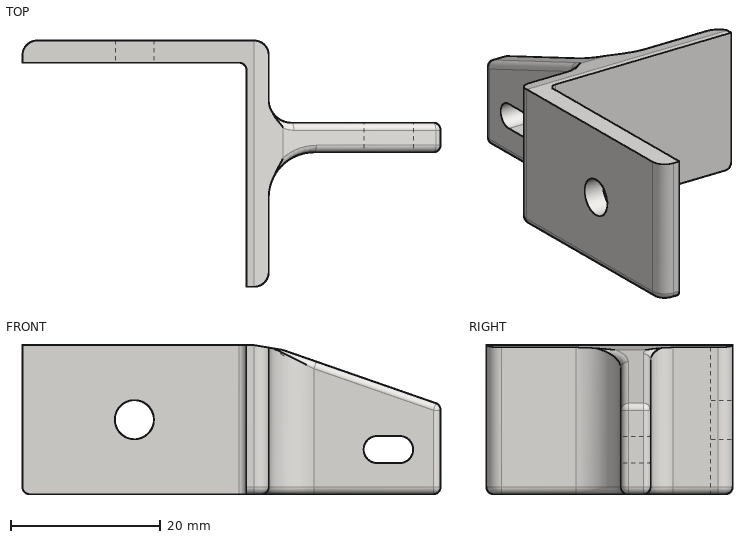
import cadquery as cq
import math

height = 20.0
plate_thickness = 3.0
wall_outer_x = 33.0
wall_inner_x = wall_outer_x - plate_thickness
wall_length = 33.0
outer_corner_radius = 2.0
inner_corner_radius = 1.0

rib_end_x = 56.0
rib_thickness = 4.0
rib_back_y = -11.0
rib_front_y = rib_back_y - rib_thickness
rib_end_height = 12.0
rib_back_root_radius = 3.0
rib_front_root_radius = 6.0

top_bevel_length = 2.0
edge_radius = 1.0
rounding_fade_offset = 0.3

hole_diameter = 5.2
hole_x = 15.0
hole_z = height / 2
slot_width = 3.6
slot_length = 6.6
slot_x = 49.0
slot_z = 6.0

slope_angle = math.atan((height - rib_end_height) / (rib_end_x - wall_outer_x))
rib_middle_y = (rib_back_y + rib_front_y) / 2
rib_middle_x = (wall_outer_x + rib_end_x) / 2
rib_middle_height = (height + rib_end_height) / 2
full_slope_height = height + wall_outer_x * math.tan(slope_angle)


def fillet_upright(body, x, y, radius):
    """Round the upright edge that passes through (x, y)."""
    edge = cq.selectors.NearestToPointSelector((x, y, height / 2))
    return body.edges("|Z").edges(edge).fillet(radius)


def fillet_near(body, points):
    """Round the edges nearest to the points, and all edges tangent to them."""
    chosen = [body.edges(cq.selectors.NearestToPointSelector(p)).val() for p in points]
    return body.newObject(chosen).fillet(edge_radius)


def side_envelope(top_points, front_y, back_y):
    """Block over the full X length whose top follows the given (x, z) points."""
    outline = [(0, 0)] + top_points + [(rib_end_x, rib_end_height), (rib_end_x, 0)]
    return cq.Workplane("XZ", origin=(0, back_y, 0)).polyline(outline).close().extrude(back_y - front_y)


def bracket_body():
    """Both plates and the rib, with the bottom outside edges rounded."""
    outline = [
        (0, 0),
        (wall_outer_x, 0),
        (wall_outer_x, rib_back_y),
        (rib_end_x, rib_back_y),
        (rib_end_x, rib_front_y),
        (wall_outer_x, rib_front_y),
        (wall_outer_x, -wall_length),
        (wall_inner_x, -wall_length),
        (wall_inner_x, -plate_thickness),
        (0, -plate_thickness),
    ]
    body = cq.Workplane("XY").polyline(outline).close().extrude(height)
    rounded_edges = [
        (0, 0, outer_corner_radius),
        (wall_outer_x, 0, outer_corner_radius),
        (wall_outer_x, -wall_length, outer_corner_radius),
        (wall_inner_x, -plate_thickness, inner_corner_radius),
        (wall_outer_x, rib_back_y, rib_back_root_radius),
        (wall_outer_x, rib_front_y, rib_front_root_radius),
    ]
    for x, y, radius in rounded_edges:
        body = fillet_upright(body, x, y, radius)
    beveled_top = [
        (0, height),
        (wall_outer_x - top_bevel_length, height),
        (
            wall_outer_x + top_bevel_length * math.cos(slope_angle),
            height - top_bevel_length * math.sin(slope_angle),
        ),
    ]
    body = body.intersect(side_envelope(beveled_top, -wall_length, 0))
    bottom_and_end_edges = [
        (rib_middle_x, rib_back_y, 0),
        (rib_middle_x, rib_front_y, 0),
        (rib_end_x, rib_middle_y, 0),
        (rib_end_x, rib_back_y, rib_end_height / 2),
        (rib_end_x, rib_front_y, rib_end_height / 2),
    ]
    return fillet_near(body, bottom_and_end_edges)


def top_rounding_envelope():
    """Block whose rounded top trims the rib.

    The slope of the rib continues upward over the plates. The wall face stands
    slightly further out and the roots are tighter by the same amount, so the
    rounding fades out along each root and runs out above the top of the wall.
    """
    face_x = wall_outer_x + rounding_fade_offset
    back_y = wall_length
    front_y = -2 * wall_length
    outline = [
        (0, back_y),
        (face_x, back_y),
        (face_x, rib_back_y),
        (rib_end_x, rib_back_y),
        (rib_end_x, rib_front_y),
        (face_x, rib_front_y),
        (face_x, front_y),
        (0, front_y),
    ]
    block = cq.Workplane("XY").polyline(outline).close().extrude(full_slope_height)
    block = fillet_upright(block, face_x, rib_back_y, rib_back_root_radius - rounding_fade_offset)
    block = fillet_upright(block, face_x, rib_front_y, rib_front_root_radius - rounding_fade_offset)
    block = block.intersect(side_envelope([(0, full_slope_height)], front_y, back_y))
    top_and_end_edges = [
        (rib_middle_x, rib_back_y, rib_middle_height),
        (rib_middle_x, rib_front_y, rib_middle_height),
        (rib_end_x, rib_middle_y, rib_end_height),
        (rib_end_x, rib_back_y, rib_end_height / 2),
        (rib_end_x, rib_front_y, rib_end_height / 2),
    ]
    return fillet_near(block, top_and_end_edges)


def hole_cutter():
    """Round hole through the back plate."""
    return cq.Workplane("XZ").center(hole_x, hole_z).circle(hole_diameter / 2).extrude(plate_thickness)


def slot_cutter():
    """Slot through the rib, lengthwise along X."""
    return (
        cq.Workplane("XZ", origin=(0, rib_back_y, 0))
        .center(slot_x, slot_z)
        .slot2D(slot_length, slot_width)
        .extrude(rib_thickness)
    )


result = bracket_body().intersect(top_rounding_envelope())
result = result.cut(hole_cutter()).cut(slot_cutter())